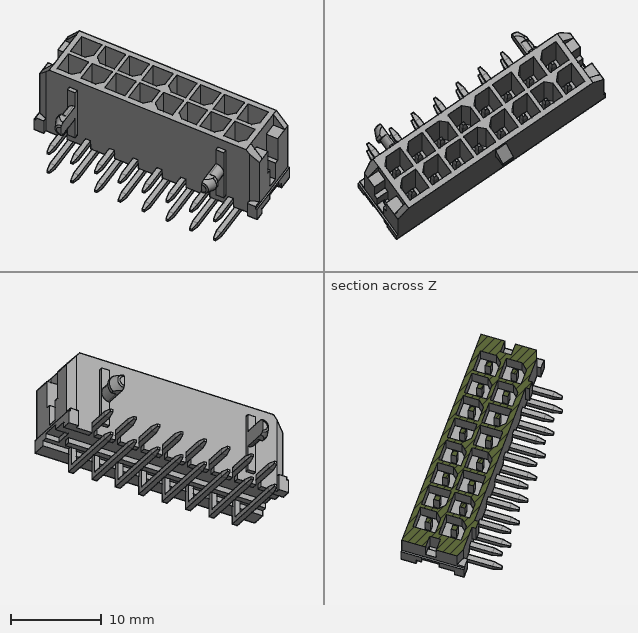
import cadquery as cq
import math


COLUMNS = 8
PITCH = 3.0
COLUMN_XS = [(i - (COLUMNS - 1) / 2) * PITCH for i in range(COLUMNS)]

BODY_HEIGHT = 9.91
BODY_DEPTH = 6.86
BODY_HALF = 13.87
TOP_HALF = 12.42
END_CHAMFER_DROP = 1.70
SHOULDER_Z = BODY_HEIGHT - END_CHAMFER_DROP
FRONT_CHAMFER_X = 1.03
FRONT_CHAMFER_Y = 0.42

FLANGE_HALF = 14.075
FLANGE_TOP = 1.64
FRONT_FACE = 7.32
FOOT_INNER_X = BODY_HALF - FRONT_CHAMFER_X
FOOT_TOP = 1.98

PIN_SIZE = 0.64
TIP_SIZE = 0.30
TAPER = 1.0
REAR_PIN_Y = -2.05
FRONT_PIN_Y = REAR_PIN_Y - PITCH
REAR_TAIL_Z = -2.01
FRONT_TAIL_Z = REAR_TAIL_Z + PITCH
TAIL_END = 10.55
PIN_TOP = 7.0

CAVITY_SIZE = 2.54
CAVITY_FLOOR = 2.2
CAVITY_CHAMFER = 0.70
REAR_CAVITY_Y = -1.93
FRONT_CAVITY_Y = REAR_CAVITY_Y - PITCH
REAR_KEYS = "RLRRLRRR"
FRONT_KEYS = "RRNRLLRR"

SLOT_Y = -3.40
RIB_REAR = 0.70
RIB_FRONT = 1.08
WIDE_SLOT = 2.22
WIDE_SLOT_FLOOR = 4.78
NARROW_SLOT = 1.20
NARROW_SLOT_FLOOR = 2.22
WELL_STEP_X = 12.84
WELL_STEP_LENGTH = 0.27
WELL_STEP_WIDTH = 0.94
WELL_FLOOR = FLANGE_TOP

UNDERSIDE_Z = FRONT_TAIL_Z - PIN_SIZE / 2
REAR_FOOT_DEPTH = 1.77
FRONT_WALL_START = 6.20
BAR_REAR = 3.05
BAR_DEPTH = 0.70
BAR_HALF = 12.0
NOTCH_REAR = 2.37
NOTCH_DEPTH = 2.06
NOTCH_TOP = UNDERSIDE_Z + 0.62

PAD_INNER_X = 8.87
PAD_WIDTH = 1.0
PAD_BOTTOM = 1.31
PAD_TOP = 8.51
PEG_Z = 5.34
PEG_HEIGHT = 1.95
BARREL_RADIUS = PAD_WIDTH
HEAD_RADIUS = 1.27
CONE_RADIUS = 0.80
TIP_RADIUS = 0.57
HEAD_START = 9.07
CONE_START = 9.43
CONE_END = 10.45

LATCH_WIDTH = 1.42
LATCH_REACH = 1.40
LATCH_TOP = 9.28
LATCH_NOSE_TOP = 7.75
LATCH_NOSE_BOTTOM = 6.96
LATCH_FILLET = 0.55


def box(x0, x1, y0, y1, z0, z1):
    """Box between two opposite corners."""
    return cq.Workplane("XY").box(x1 - x0, y1 - y0, z1 - z0, centered=False).translate((x0, y0, z0))


def both_ends(shape):
    """A shape on the -X side joined with its mirror image on the +X side."""
    return shape.union(shape.mirror("YZ"))


def housing_block():
    elevation = [
        (-BODY_HALF, 0),
        (BODY_HALF, 0),
        (BODY_HALF, SHOULDER_Z),
        (TOP_HALF, BODY_HEIGHT),
        (-TOP_HALF, BODY_HEIGHT),
        (-BODY_HALF, SHOULDER_Z),
    ]
    plan = [
        (-BODY_HALF, 0),
        (BODY_HALF, 0),
        (BODY_HALF, FRONT_CHAMFER_Y - BODY_DEPTH),
        (FOOT_INNER_X, -BODY_DEPTH),
        (-FOOT_INNER_X, -BODY_DEPTH),
        (-BODY_HALF, FRONT_CHAMFER_Y - BODY_DEPTH),
    ]
    block = cq.Workplane("XZ").polyline(elevation).close().extrude(BODY_DEPTH)
    return block.intersect(cq.Workplane("XY").polyline(plan).close().extrude(BODY_HEIGHT))


def flange_and_feet():
    flange = box(-FLANGE_HALF, -FOOT_INNER_X, -FRONT_FACE, 0, 0, FLANGE_TOP)
    foot = box(-BODY_HALF, -FOOT_INNER_X, -FRONT_FACE, FRONT_CHAMFER_Y - BODY_DEPTH, 0, FOOT_TOP)
    return both_ends(flange.union(foot))


def end_slots():
    """Stepped slot in each end, with a blind well in the slot floor."""

    def slot(width, floor, x_outer=-FLANGE_HALF, top=BODY_HEIGHT):
        return box(x_outer, -TOP_HALF, SLOT_Y - width / 2, SLOT_Y + width / 2, floor, top)

    upper = box(-FLANGE_HALF, -TOP_HALF, RIB_FRONT - BODY_DEPTH, -RIB_REAR, SHOULDER_Z, BODY_HEIGHT)
    wide = slot(WIDE_SLOT, WIDE_SLOT_FLOOR)
    narrow = slot(NARROW_SLOT, NARROW_SLOT_FLOOR)
    well = slot(NARROW_SLOT, WELL_FLOOR, -WELL_STEP_X, NARROW_SLOT_FLOOR)
    narrow_well = slot(WELL_STEP_WIDTH, WELL_FLOOR, -WELL_STEP_X - WELL_STEP_LENGTH, NARROW_SLOT_FLOOR)
    return both_ends(upper.union(wide).union(narrow).union(well).union(narrow_well))


def cavity(x, y, key):
    """One square cavity; its key is a chamfered vertical edge on the front side."""
    shape = cq.Workplane("XY").rect(CAVITY_SIZE, CAVITY_SIZE).extrude(BODY_HEIGHT - CAVITY_FLOOR)
    if key == "R":
        shape = shape.edges("|Z and >X and <Y").chamfer(CAVITY_CHAMFER)
    elif key == "L":
        shape = shape.edges("|Z and <X and <Y").chamfer(CAVITY_CHAMFER)
    return shape.translate((x, y, CAVITY_FLOOR))


def underside_recess():
    """Hollow below the floor, leaving a rear foot, a middle bar and a front wall with pin slots."""
    hollow = box(-FLANGE_HALF, FLANGE_HALF, -FRONT_WALL_START, -REAR_FOOT_DEPTH, 0, UNDERSIDE_Z)
    bar = box(-BAR_HALF, BAR_HALF, -BAR_REAR - BAR_DEPTH, -BAR_REAR, 0, UNDERSIDE_Z)
    notch = box(-FLANGE_HALF, -TOP_HALF, -NOTCH_REAR - NOTCH_DEPTH, -NOTCH_REAR, 0, NOTCH_TOP)
    recess = hollow.cut(bar).union(both_ends(notch))
    half_pin = PIN_SIZE / 2
    for x in COLUMN_XS:
        slot = box(x - half_pin, x + half_pin, -BODY_DEPTH, -FRONT_WALL_START, 0, UNDERSIDE_Z)
        recess = recess.union(slot)
    return recess


def tapered_bar(plane, length):
    """Square bar growing from the plane's origin along its normal, ending in a tapered tip."""
    bar = cq.Workplane(plane).rect(PIN_SIZE, PIN_SIZE).extrude(length - TAPER)
    tip = (
        cq.Workplane(plane)
        .workplane(offset=length - TAPER)
        .rect(PIN_SIZE, PIN_SIZE)
        .workplane(offset=TAPER)
        .rect(TIP_SIZE, TIP_SIZE)
        .loft(ruled=True)
    )
    return bar.union(tip)


def pin(x, y, tail_z):
    """L-shaped pin: upright in its cavity, with a tail leaving towards -Y."""
    half_pin = PIN_SIZE / 2
    bottom = tail_z - half_pin
    rear = y + half_pin
    upright = tapered_bar("XY", PIN_TOP - bottom).translate((x, y, bottom))
    tail = tapered_bar("XZ", TAIL_END + rear).translate((x, rear, tail_z))
    return upright.union(tail)


def pads_and_pegs():
    """Each pad carries a half-round snap peg, flat towards the middle and flattened above and below."""
    pad_outer_x = PAD_INNER_X + PAD_WIDTH
    pad = box(-pad_outer_x, -PAD_INNER_X, -FRONT_FACE, -BODY_DEPTH, PAD_BOTTOM, PAD_TOP)
    profile = [
        (0, -FRONT_FACE),
        (BARREL_RADIUS, -FRONT_FACE),
        (BARREL_RADIUS, -HEAD_START),
        (HEAD_RADIUS, -HEAD_START),
        (HEAD_RADIUS, -CONE_START),
        (CONE_RADIUS, -CONE_END),
        (TIP_RADIUS, -TAIL_END),
        (0, -TAIL_END),
    ]
    peg = cq.Workplane("XY").polyline(profile).close().revolve(360, (0, 0, 0), (0, 1, 0))
    half_height = PEG_HEIGHT / 2
    envelope = box(-HEAD_RADIUS, 0, -TAIL_END, -FRONT_FACE, -half_height, half_height)
    peg = peg.intersect(envelope).translate((-PAD_INNER_X, 0, PEG_Z))
    return both_ends(pad.union(peg))


def latch():
    fillet_centre = (LATCH_FILLET, LATCH_NOSE_BOTTOM - LATCH_FILLET)
    arc_offset = LATCH_FILLET * math.sqrt(0.5)
    return (
        cq.Workplane("YZ")
        .moveTo(0, LATCH_TOP)
        .lineTo(LATCH_REACH, LATCH_NOSE_TOP)
        .lineTo(LATCH_REACH, LATCH_NOSE_BOTTOM)
        .lineTo(LATCH_FILLET, LATCH_NOSE_BOTTOM)
        .threePointArc(
            (fillet_centre[0] - arc_offset, fillet_centre[1] + arc_offset),
            (0, fillet_centre[1]),
        )
        .close()
        .extrude(LATCH_WIDTH / 2, both=True)
    )


result = housing_block().union(flange_and_feet()).cut(end_slots()).cut(underside_recess())
for cavity_y, keys in ((REAR_CAVITY_Y, REAR_KEYS), (FRONT_CAVITY_Y, FRONT_KEYS)):
    for column_x, corner_key in zip(COLUMN_XS, keys):
        result = result.cut(cavity(column_x, cavity_y, corner_key))
result = result.union(pads_and_pegs()).union(latch())
for pin_y, tail_height in ((REAR_PIN_Y, REAR_TAIL_Z), (FRONT_PIN_Y, FRONT_TAIL_Z)):
    for column_x in COLUMN_XS:
        result = result.union(pin(column_x, pin_y, tail_height))